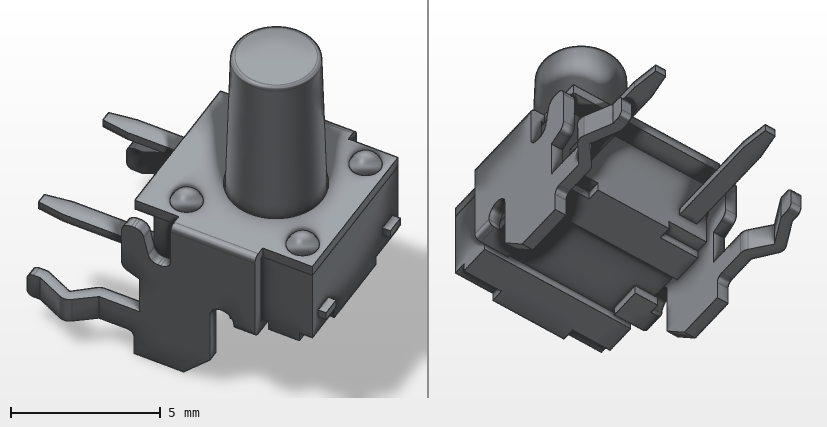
import cadquery as cq
import math


total_height = 12.3
plate_top = 6.48
plate_thickness = 0.4
plate_bottom = plate_top - plate_thickness
base_bottom = 2.84
channel_roof = 3.2

base_side = 6.0
base_half = base_side / 2
channel_half_width = 1.33
corner_notch_length = 0.49
notch_inner_y = 1.46

pin_start_x = -7.69
pin_end_x = 3.31
pin_pitch_half = 2.25
pin_width = 0.7
pin_thickness = 0.31
pin_mid_z = 4.0
pin_tip_width = 0.4
pin_taper_length = 1.01

plunger_foot_diameter = 3.42
plunger_top_diameter = 3.05
plunger_edge_radius = 0.15

plate_left_x = -3.74
wall_left_x = -2.08
wall_right_x = 1.12
wall_outer_y = 3.55
wall_thickness = 0.44
wall_inner_y = wall_outer_y - wall_thickness
bend_radius = 0.25
plunger_hole_diameter = 3.5
dome_spacing_half = 2.2
dome_diameter = 1.12
dome_height = 0.43

corner_diameter = 0.75
corner_radius = corner_diameter / 2
lobe_left_x = -3.95
lobe_top_z = 5.82
slot_bottom_z = 4.5
crown_flat = 0.11
lobe_heel_z = 4.06
lobe_heel_end = (-3.7, 3.71)
neck_left_x = -3.26
neck_top_z = 3.53
foot_left_x = -3.47
foot_fillet_radius = 0.25
leg_right_x = -0.59
foot_chamfer = 1.0

tab_left_x = -0.06
tab_bottom = 2.8
tab_end_y = 2.19
bend_left_x = 0.32

arm_bottom = 1.02
arm_height = 1.0
arm_top = arm_bottom + arm_height
arm_tip_x = -7.45
arm_tip_radius = 0.25
arm_thickness = 0.4
arm_tip_inner_y = 3.28
arm_slope_start_x = -6.86
arm_peak_x = -5.78
overall_width = 8.4
arm_peak_y = overall_width / 2 - arm_thickness
arm_root_x = -4.8


def block(x_min, x_max, y_min, y_max, z_min, z_max):
    """Box given by its limits along each axis."""
    size = (x_max - x_min, y_max - y_min, z_max - z_min)
    return cq.Workplane("XY").box(*size, centered=False).translate((x_min, y_min, z_min))


def make_pin(center_y):
    """Flat pin through the base with a tapered tip at its -X end."""
    half_width = pin_width / 2
    half_tip = pin_tip_width / 2
    taper_end_x = pin_start_x + pin_taper_length
    outline = [
        (pin_start_x, -half_tip),
        (taper_end_x, -half_width),
        (pin_end_x, -half_width),
        (pin_end_x, half_width),
        (taper_end_x, half_width),
        (pin_start_x, half_tip),
    ]
    pin = cq.Workplane("XY").polyline(outline).close().extrude(pin_thickness)
    return pin.translate((0, center_y, pin_mid_z - pin_thickness / 2))


def make_base():
    """Square block with a channel across its underside, notched bottom corners and two pins."""
    base = block(-base_half, base_half, -base_half, base_half, base_bottom, plate_bottom)
    base = base.cut(
        block(-channel_half_width, channel_half_width, -base_half, base_half, base_bottom, channel_roof)
    )
    notch_inner_x = base_half - corner_notch_length
    notch = block(notch_inner_x, base_half, notch_inner_y, base_half, base_bottom, channel_roof)
    for quarter in (notch, notch.mirror("YZ")):
        base = base.cut(quarter).cut(quarter.mirror("XZ"))
    for center_y in (-pin_pitch_half, pin_pitch_half):
        base = base.union(make_pin(center_y))
    return base


def make_plunger():
    """Tapered stem standing on the base, clear of the cover hole, with a rounded top edge."""
    profile = [
        (0, plate_bottom),
        (plunger_foot_diameter / 2, plate_bottom),
        (plunger_top_diameter / 2, total_height),
        (0, total_height),
    ]
    plunger = cq.Workplane("XZ").polyline(profile).close().revolve(360, (0, 0, 0), (0, 1, 0))
    return plunger.faces(">Z").edges().fillet(plunger_edge_radius)


def make_wall_outline():
    """Side wall in the XZ plane: lobe and slot on the left, leg below, relief beside the tab bend."""
    crown_start_x = lobe_left_x + corner_radius
    crown_end_x = crown_start_x + crown_flat
    floor_end_x = wall_left_x - corner_radius
    floor_start_x = floor_end_x - crown_flat
    lobe_center_z = lobe_top_z - corner_radius
    slot_center_z = slot_bottom_z + corner_radius

    center_dx = floor_start_x - crown_end_x
    center_dz = slot_center_z - lobe_center_z
    center_angle = math.atan2(center_dz, center_dx)
    flank_angle = center_angle + math.acos(corner_diameter / math.hypot(center_dx, center_dz))
    flank_dx = corner_radius * math.cos(flank_angle)
    flank_dz = corner_radius * math.sin(flank_angle)

    relief_radius = (bend_left_x - leg_right_x) / 2
    relief_z = tab_bottom + bend_radius
    relief_x = leg_right_x + relief_radius
    return (
        cq.Workplane("XZ")
        .moveTo(wall_left_x, plate_top)
        .lineTo(wall_right_x, plate_top)
        .lineTo(wall_right_x, tab_bottom)
        .lineTo(bend_left_x, tab_bottom)
        .lineTo(bend_left_x, relief_z)
        .threePointArc((relief_x, relief_z + relief_radius), (leg_right_x, relief_z))
        .lineTo(leg_right_x, foot_chamfer)
        .lineTo(leg_right_x - foot_chamfer, 0)
        .lineTo(foot_left_x, 0)
        .lineTo(foot_left_x, arm_bottom - foot_fillet_radius)
        .radiusArc((foot_left_x - foot_fillet_radius, arm_bottom), -foot_fillet_radius)
        .lineTo(foot_left_x - foot_fillet_radius, arm_top)
        .lineTo(neck_left_x, arm_top)
        .lineTo(neck_left_x, neck_top_z)
        .lineTo(*lobe_heel_end)
        .radiusArc((lobe_left_x, lobe_heel_z), corner_radius)
        .lineTo(lobe_left_x, lobe_center_z)
        .radiusArc((crown_start_x, lobe_top_z), corner_radius)
        .lineTo(crown_end_x, lobe_top_z)
        .radiusArc((crown_end_x + flank_dx, lobe_center_z + flank_dz), corner_radius)
        .lineTo(floor_start_x - flank_dx, slot_center_z - flank_dz)
        .radiusArc((floor_start_x, slot_bottom_z), -corner_radius)
        .lineTo(floor_end_x, slot_bottom_z)
        .radiusArc((wall_left_x, slot_center_z), -corner_radius)
        .close()
    )


def make_wall():
    """Side wall on the +Y side, with its long outer edges rounded by the bends."""
    wall = make_wall_outline().extrude(-wall_thickness).translate((0, wall_inner_y, 0))
    top_edge = cq.selectors.NearestToPointSelector((0, wall_outer_y, plate_top))
    wall = wall.edges(top_edge).fillet(bend_radius)
    bend_mid_x = (bend_left_x + wall_right_x) / 2
    bottom_edge = cq.selectors.NearestToPointSelector((bend_mid_x, wall_outer_y, tab_bottom))
    return wall.edges(bottom_edge).fillet(bend_radius)


def make_arm():
    """Snap arm on the +Y side, bent outward to a rounded peak."""
    rise_angle = math.atan2(arm_peak_y - arm_tip_inner_y, arm_peak_x - arm_slope_start_x)
    root_dx = arm_root_x - arm_peak_x
    root_drop = arm_peak_y - wall_outer_y
    root_distance = math.hypot(root_dx, root_drop)
    fall_angle = math.atan2(root_drop, root_dx) + math.asin(wall_thickness / root_distance)
    root_round_start = (
        arm_root_x - wall_thickness * math.sin(fall_angle),
        wall_outer_y - wall_thickness * math.cos(fall_angle),
    )
    rise_shift = arm_thickness * math.tan(rise_angle / 2)
    arm = (
        cq.Workplane("XY")
        .moveTo(arm_tip_x, arm_tip_inner_y)
        .lineTo(arm_slope_start_x, arm_tip_inner_y)
        .lineTo(arm_peak_x, arm_peak_y)
        .lineTo(*root_round_start)
        .radiusArc((arm_root_x, wall_inner_y), -wall_thickness)
        .lineTo(neck_left_x, wall_inner_y)
        .lineTo(neck_left_x, wall_outer_y)
        .lineTo(arm_root_x, wall_outer_y)
        .lineTo(
            arm_peak_x + arm_thickness * math.sin(fall_angle),
            arm_peak_y + arm_thickness * math.cos(fall_angle),
        )
        .threePointArc(
            (arm_peak_x, arm_peak_y + arm_thickness),
            (
                arm_peak_x - arm_thickness * math.sin(rise_angle),
                arm_peak_y + arm_thickness * math.cos(rise_angle),
            ),
        )
        .lineTo(arm_slope_start_x - rise_shift, arm_tip_inner_y + arm_thickness)
        .lineTo(arm_tip_x, arm_tip_inner_y + arm_thickness)
        .close()
        .extrude(arm_height)
        .translate((0, 0, arm_bottom))
    )
    return arm.faces("<X").edges("|Y").fillet(arm_tip_radius)


def make_cover_side():
    """Everything that hangs from the +Y edge of the cover plate."""
    shoulder = block(wall_left_x, wall_right_x, base_half, wall_inner_y, plate_bottom, plate_top)
    tab = block(tab_left_x, wall_right_x, tab_end_y, wall_inner_y, tab_bottom, channel_roof)
    return make_wall().union(make_arm()).union(shoulder).union(tab)


def make_dome(center_x, center_y):
    """Low spherical dome standing on the cover plate."""
    dome_radius = dome_diameter / 2
    sphere_radius = (dome_radius**2 + dome_height**2) / (2 * dome_height)
    sphere_z = plate_top + dome_height - sphere_radius
    sphere = cq.Workplane("XY").sphere(sphere_radius).translate((center_x, center_y, sphere_z))
    cap_space = block(
        center_x - sphere_radius,
        center_x + sphere_radius,
        center_y - sphere_radius,
        center_y + sphere_radius,
        plate_bottom,
        plate_top + dome_height,
    )
    return sphere.intersect(cap_space)


def make_cover():
    """Folded metal cover: holed plate, four domes, and a wall with leg, arm and tab on each side."""
    cover = block(plate_left_x, base_half, -base_half, base_half, plate_bottom, plate_top)
    side = make_cover_side()
    cover = cover.union(side).union(side.mirror("XZ"))
    for center_x in (-dome_spacing_half, dome_spacing_half):
        for center_y in (-dome_spacing_half, dome_spacing_half):
            cover = cover.union(make_dome(center_x, center_y))
    plunger_hole = (
        cq.Workplane("XY", origin=(0, 0, plate_bottom))
        .circle(plunger_hole_diameter / 2)
        .extrude(plate_thickness)
    )
    return cover.cut(plunger_hole)


base = make_base()
plunger = make_plunger()
cover = make_cover()

result = cq.Compound.makeCompound([base.solids().val(), plunger.solids().val(), cover.solids().val()])